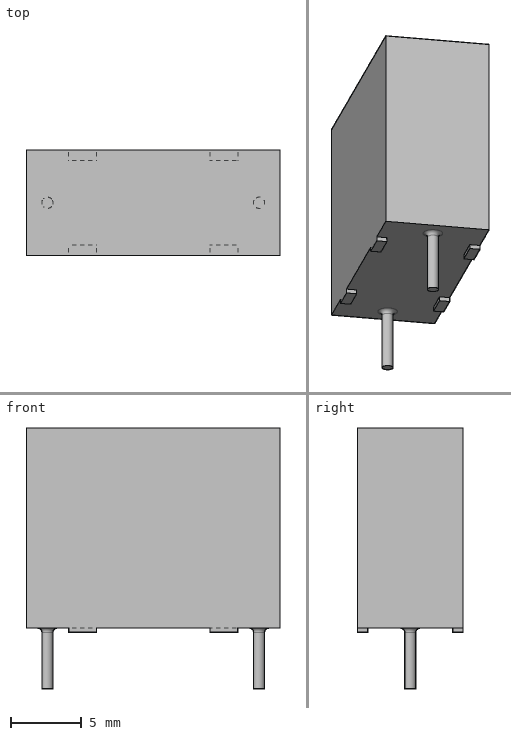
import cadquery as cq

total_height = 18.5
body_length = 18.0
body_width = 7.5
body_height = 14.2

foot_length = 2.0
foot_width = 0.74
foot_height = 0.3
foot_spacing = 10.0

lead_diameter = 0.8
lead_spacing = 15.0
lead_length = total_height - body_height
flare_radius = foot_height


def make_body():
    """Plain block resting on top of the feet."""
    return (
        cq.Workplane("XY")
        .workplane(offset=foot_height)
        .rect(body_length, body_width)
        .extrude(body_height)
    )


def make_feet():
    """Four rectangular pads below the long edges of the body."""
    return (
        cq.Workplane("XY")
        .rarray(foot_spacing, body_width - foot_width, 2, 2)
        .rect(foot_length, foot_width)
        .extrude(foot_height)
    )


def make_lead(x_position):
    """Round lead hanging from the body, with a concave flare at its root."""
    lead_radius = lead_diameter / 2
    flare_edge = lead_radius + flare_radius
    profile = (
        cq.Workplane("XZ")
        .lineTo(flare_edge, 0)
        .radiusArc((lead_radius, -flare_radius), -flare_radius)
        .lineTo(lead_radius, -lead_length)
        .lineTo(0, -lead_length)
        .close()
    )
    lead = profile.revolve(360, (0, 0, 0), (0, 1, 0))
    return lead.translate((x_position, 0, foot_height))


result = make_body().union(make_feet())
for side in (-1, 1):
    result = result.union(make_lead(side * lead_spacing / 2))